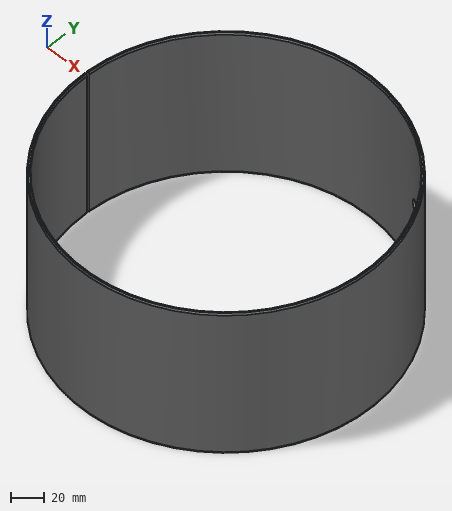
import cadquery as cq

outer_diameter = 240.0
height = 120.0
wall = 2.5
outer_radius = outer_diameter / 2
inner_radius = outer_radius - wall

chamfer_width = 0.67
chamfer_height = 1.5

split_angle = 1.0

hole_diameter = 10.0
hole_direction = 59.0


def split_ring():
    """Revolve the chamfered wall section almost a full turn about Z."""
    rim_z = height / 2
    shoulder_z = rim_z - chamfer_height
    rim_outer_radius = outer_radius - chamfer_width
    rim_inner_radius = inner_radius + chamfer_width
    return (
        cq.Workplane("XZ")
        .moveTo(-outer_radius, -shoulder_z)
        .lineTo(-outer_radius, shoulder_z)
        .lineTo(-rim_outer_radius, rim_z)
        .lineTo(-rim_inner_radius, rim_z)
        .lineTo(-inner_radius, shoulder_z)
        .lineTo(-inner_radius, -shoulder_z)
        .lineTo(-rim_inner_radius, -rim_z)
        .lineTo(-rim_outer_radius, -rim_z)
        .close()
        .revolve(360 - split_angle, (0, 0, 0), (0, 1, 0))
    )


def radial_hole():
    """Cylinder from the axis outwards through one side of the wall."""
    return (
        cq.Workplane("YZ")
        .circle(hole_diameter / 2)
        .extrude(outer_diameter)
        .rotate((0, 0, 0), (0, 0, 1), hole_direction)
    )


result = split_ring().cut(radial_hole())